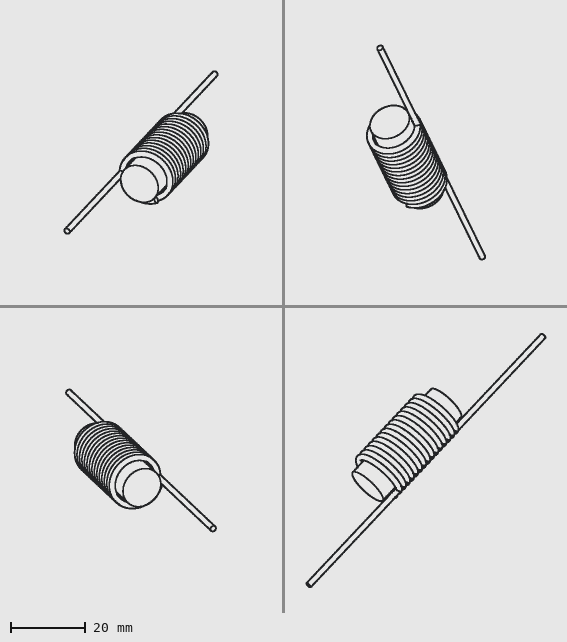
import cadquery as cq

core_diameter = 11.05
core_length = 31.8

wire_diameter = 1.6
coil_thinning = 0.02
lead_span = 95.25

coil_outer_diameter = 15.2
full_turns = 15
full_turns_length = 24.6
end_turn = 1 / 3
coil_start_y = 12.6

lead_radius = wire_diameter / 2
coil_wire_radius = (wire_diameter - coil_thinning) / 2
coil_radius = coil_outer_diameter / 2 - lead_radius
coil_pitch = full_turns_length / full_turns


def make_core():
    """Plain round rod along Y, centred on the origin."""
    return (
        cq.Workplane("XZ", origin=(0, core_length / 2, 0))
        .circle(core_diameter / 2)
        .extrude(core_length)
    )


def make_straight_wire(start_y, end_y):
    """Straight wire at the -X side of the coil, from start_y toward -Y."""
    return (
        cq.Workplane("XZ", origin=(-coil_radius, start_y, 0))
        .circle(lead_radius)
        .extrude(start_y - end_y)
    )


def make_turn(crossing_y, before, after):
    """Coil wire around its crossing of the straight wire at -X.

    It goes down at the crossing and advances toward -Y. The parts of a turn
    before and after the crossing are given as fractions.
    """
    turns = before + after
    helix = cq.Workplane(cq.Wire.makeHelix(coil_pitch, turns * coil_pitch, coil_radius))
    return (
        cq.Workplane("XZ", origin=(coil_radius, 0, 0))
        .circle(coil_wire_radius)
        .sweep(helix, isFrenet=True)
        .rotate((0, 0, 0), (1, 0, 0), 90)
        .rotate((0, 0, 0), (0, 1, 0), 180 + 360 * before)
        .translate((0, crossing_y + before * coil_pitch, 0))
    )


def make_winding():
    """One wire body: a coil fused turn by turn to the straight wire through it."""
    half_turn = 1 / 2
    pieces = []
    piece_start_y = lead_span / 2
    for crossing in range(full_turns + 1):
        first = crossing == 0
        last = crossing == full_turns
        crossing_y = coil_start_y - crossing * coil_pitch
        piece_end_y = -lead_span / 2 if last else crossing_y - coil_pitch / 2
        before = 0 if first else half_turn
        after = end_turn if last else half_turn
        straight = make_straight_wire(piece_start_y, piece_end_y)
        pieces.append(straight.union(make_turn(crossing_y, before, after)).val())
        piece_start_y = piece_end_y
    fused = pieces[0].fuse(*pieces[1:], glue=True).clean()
    return cq.Workplane(fused).solids()


core = make_core()
winding = make_winding()

result = cq.Compound.makeCompound([core.val(), winding.val()])